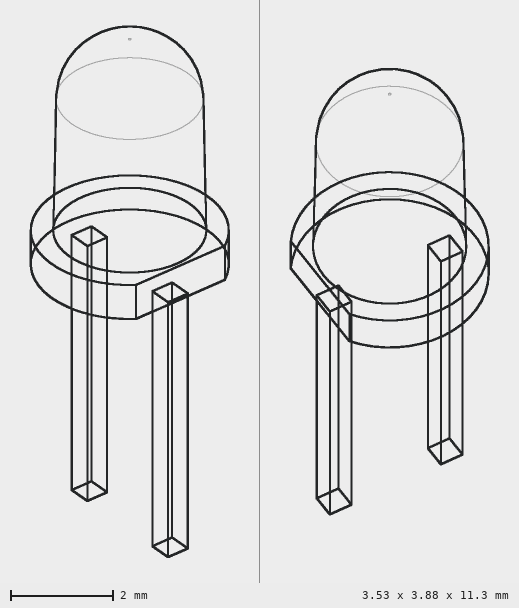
import cadquery as cq
import math

overall_height = 11.3

lead_length = 6.0
lead_width = 0.5
lead_pitch = 2.54

flange_radius = 1.94
flange_thickness = 0.8
flat_offset = 1.59

lens_base_radius = 1.5
lens_draft = math.radians(1.0)
dome_radius = 1.42
lens_top = overall_height - lead_length

dome_center_z = lens_top - dome_radius
wall_radius_at_center = lens_base_radius - (dome_center_z - flange_thickness) * math.tan(lens_draft)
tip_flat_radius = wall_radius_at_center - dome_radius / math.cos(lens_draft)


def dome_point(elevation):
    """Point (radius, Z) on the dome arc at an elevation angle above horizontal."""
    return (
        tip_flat_radius + dome_radius * math.cos(elevation),
        dome_center_z + dome_radius * math.sin(elevation),
    )


def make_flange():
    """Round flange with one flat side facing +X."""
    disc = cq.Workplane("XY").circle(flange_radius).extrude(flange_thickness)
    beyond_flat = (
        cq.Workplane("XY")
        .rect(2 * flange_radius, 2 * flange_radius)
        .extrude(flange_thickness)
        .translate((flat_offset + flange_radius, 0, 0))
    )
    return disc.cut(beyond_flat)


def make_lens():
    """Tapered, domed barrel standing on the flange, revolved about Z."""
    quarter_turn = math.pi / 2
    arc_middle = (lens_draft + quarter_turn) / 2
    return (
        cq.Workplane("XZ")
        .moveTo(0, flange_thickness)
        .lineTo(lens_base_radius, flange_thickness)
        .lineTo(*dome_point(lens_draft))
        .threePointArc(dome_point(arc_middle), dome_point(quarter_turn))
        .lineTo(0, lens_top)
        .close()
        .revolve(360, (0, 0, 0), (0, 1, 0))
    )


def make_housing():
    """Flange and lens moulded as one body."""
    return make_flange().union(make_lens()).solids()


def make_lead(x):
    """Square lead hanging from the underside of the flange."""
    return cq.Workplane("XY").center(x, 0).rect(lead_width, lead_width).extrude(-lead_length)


housing = make_housing()
leads = [make_lead(side * lead_pitch / 2) for side in (-1, 1)]

result = cq.Compound.makeCompound([housing.val(), *[lead.val() for lead in leads]])